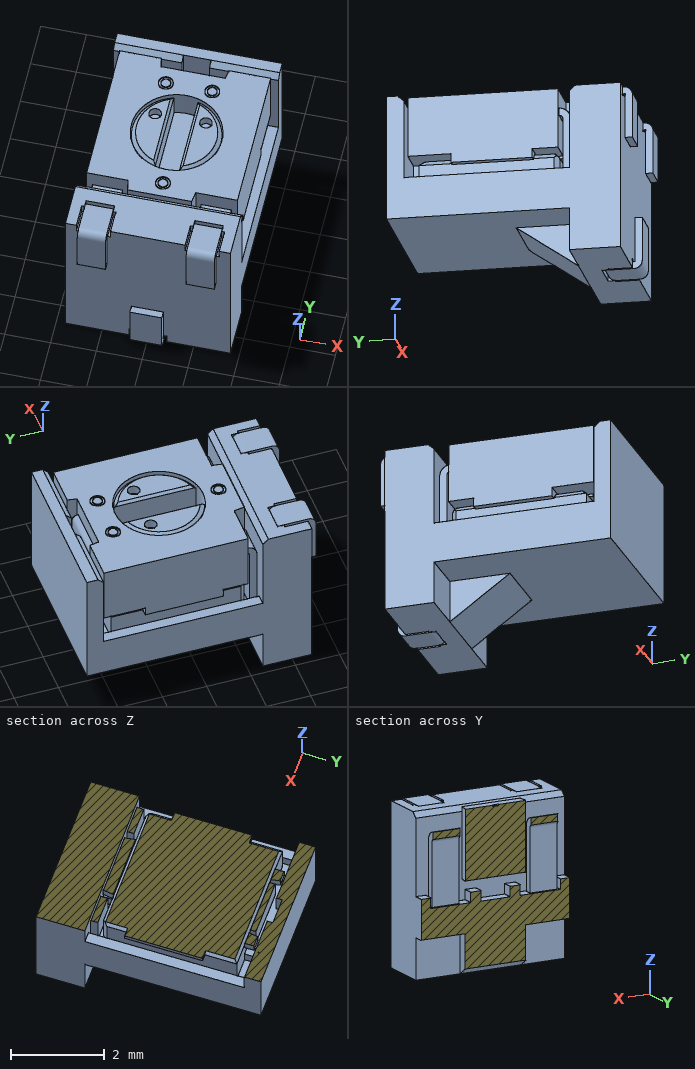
import cadquery as cq


width = 3.61
length = 5.28
height = 3.71
head_front = 0.2
head_rear = 1.31
shelf_bottom = 0.945
shelf_top = 1.86
wall_front = 4.9
edge_length = 0.125
edge_drop = 0.115
wall_notch_width = 0.6
rib_end = 2.66
rib_width = 1.48

terminal_x = 1.19
bottom_pad_width = 0.695

well_width = 3.135
well_depth = 0.23
well_floor = shelf_top - well_depth
rear_island_width = 1.995
front_island_width = 1.215
island_groove_width = bottom_pad_width

housing_width = 3.3
housing_front = 1.585
housing_rear = 4.84
housing_bottom = 2.385
tab_front = 1.34
tab_bottom = 2.11
tab_width = 1.48
tab_taper = 0.035
notch_root = 4.63
skirt_bottom = 2.19
skirt_front = 2.145
skirt_rear = 3.905

block_width = 3.01
block_top = 2.33
block_chamfer = 0.115
core_width = 2.11

rotor_y = 3.025
rotor_hole_radius = 0.99
rotor_radius = 0.965
rotor_chamfer = 0.09
rotor_depth = 0.79
slot_width = 0.53
slot_depth = 0.635
slot_chamfer = 0.06
dimple_x = 0.555
dimple_y = 3.405
dimple_radius = 0.13
dimple_depth = 0.21

ring_centres = [(-0.505, 4.24), (0.505, 4.24), (0, 1.685)]
ring_outer_radius = 0.16
ring_inner_radius = 0.105
ring_depth = 0.025

front_leg_width = 0.66
front_leg_thickness = 0.165
rear_leg_width = 1.28
rear_leg_reach = 0.135
leg_top = 3.31

pad_thickness = 0.16
pad_bend = 0.175
pad_drop = 1.145
pad_rear = 0.87
pad_recess_depth = 0.2
pad_recess_rear = 0.72
pad_clearance = 0.065
top_pad_width = 0.62


def box(x_size, y_start, y_end, z_start, z_end):
    """Box centred on X = 0 and running between the given Y and Z limits."""
    base = cq.Workplane("XY", origin=(0, (y_start + y_end) / 2, z_start))
    return base.rect(x_size, y_end - y_start).extrude(z_end - z_start)


def side_sketch():
    """Workplane whose local axes are the part's Y and Z."""
    return cq.Workplane("YZ")


def tapered_plan(y_wide, y_narrow, z_start, z_end):
    """Prism whose plan narrows slightly from y_wide to y_narrow."""
    wide = tab_width / 2
    narrow = wide - tab_taper
    outline = [(-wide, y_wide), (wide, y_wide), (narrow, y_narrow), (-narrow, y_narrow)]
    return cq.Workplane("XY", origin=(0, 0, z_start)).polyline(outline).close().extrude(z_end - z_start)


def make_frame():
    """L-shaped frame with a tall head, a rear wall, a rib and the well."""
    outline = [
        (head_front, 0),
        (head_rear, 0),
        (head_rear, shelf_bottom),
        (length, shelf_bottom),
        (length, height),
        (wall_front + edge_length, height),
        (wall_front, height - edge_drop),
        (wall_front, shelf_top),
        (head_rear, shelf_top),
        (head_rear, height - edge_drop),
        (head_rear - edge_length, height),
        (head_front, height),
    ]
    frame = side_sketch().polyline(outline).close().extrude(width / 2, both=True)

    rib_outline = [(head_rear, 0), (rib_end, shelf_bottom), (head_rear, shelf_bottom)]
    frame = frame.union(side_sketch().polyline(rib_outline).close().extrude(rib_width / 2, both=True))
    frame = frame.cut(box(wall_notch_width, wall_front, wall_front + edge_length, shelf_top, height))

    well = box(well_width, head_rear, wall_front, well_floor, shelf_top)
    rear_island = box(rear_island_width, notch_root, wall_front, well_floor, shelf_top)
    front_island = box(front_island_width, head_rear, housing_front, well_floor, shelf_top)
    groove = box(island_groove_width, head_rear, housing_front, well_floor, shelf_top)
    return frame.cut(well.cut(rear_island).cut(front_island.cut(groove)))


def make_housing():
    """Trimmer housing with its skirts, lower block and ring grooves."""
    housing = box(housing_width, housing_front, housing_rear, housing_bottom, height)
    housing = housing.union(tapered_plan(housing_front, tab_front, tab_bottom, height))
    lip = box(rear_island_width, notch_root, housing_rear, tab_bottom, housing_bottom)
    housing = housing.union(lip)
    housing = housing.cut(tapered_plan(housing_rear, notch_root, tab_bottom, height))

    skirts = box(housing_width, skirt_front, skirt_rear, skirt_bottom, housing_bottom)
    block = box(block_width, housing_front, notch_root, well_floor, block_top)
    block = block.faces(">Z").edges().chamfer(block_chamfer)
    block = block.edges("|Z and <Y").chamfer(block_chamfer)
    core = box(core_width, housing_front, notch_root, block_top, housing_bottom)
    housing = housing.union(skirts).union(block).union(core)

    for centre in ring_centres:
        ring = cq.Workplane("XY", origin=(*centre, height)).circle(ring_outer_radius)
        housing = housing.cut(ring.circle(ring_inner_radius).extrude(-ring_depth))
    return housing


def add_rotor(housing):
    """Set the slotted adjusting disc into the housing top."""
    top = cq.Workplane("XY", origin=(0, rotor_y, height))
    rotor = top.circle(rotor_radius).extrude(-rotor_depth).faces(">Z").chamfer(rotor_chamfer)

    half = slot_width / 2
    slot_outline = [
        (-half - slot_chamfer, height),
        (half + slot_chamfer, height),
        (half, height - slot_chamfer),
        (half, height - slot_depth),
        (-half, height - slot_depth),
        (-half, height - slot_chamfer),
    ]
    slot_plane = cq.Workplane("XZ", origin=(0, rotor_y, 0))
    rotor = rotor.cut(slot_plane.polyline(slot_outline).close().extrude(rotor_radius, both=True))

    for x in (-dimple_x, dimple_x):
        dimple = cq.Workplane("XY", origin=(x, dimple_y, height)).circle(dimple_radius)
        rotor = rotor.cut(dimple.extrude(-dimple_depth))

    rotor_hole = top.circle(rotor_hole_radius).extrude(-rotor_depth)
    return housing.cut(rotor_hole).union(rotor)


def front_leg(x):
    """Leg that leaves the housing front, bends down and enters the well."""
    reach = housing_front - tab_front
    inner = reach - front_leg_thickness
    bend_z = leg_top - reach
    leg = (
        cq.Workplane("YZ", origin=(x, 0, 0))
        .moveTo(housing_front, leg_top)
        .radiusArc((tab_front, bend_z), -reach)
        .lineTo(tab_front, well_floor)
        .lineTo(tab_front + front_leg_thickness, well_floor)
        .lineTo(tab_front + front_leg_thickness, bend_z)
        .radiusArc((housing_front, bend_z + inner), inner)
        .close()
    )
    return leg.extrude(front_leg_width / 2, both=True)


def rear_leg():
    """Rounded-over leg running down the root of the rear notch."""
    leg = (
        side_sketch()
        .moveTo(notch_root, leg_top)
        .radiusArc((notch_root + rear_leg_reach, leg_top - rear_leg_reach), rear_leg_reach)
        .lineTo(notch_root + rear_leg_reach, well_floor)
        .lineTo(notch_root, well_floor)
        .close()
    )
    return leg.extrude(rear_leg_width / 2, both=True)


def pad_profile():
    """Pad bent over the top front edge of the head, as a Y-Z outline."""
    underside = height - pad_thickness
    return (
        side_sketch()
        .moveTo(pad_bend, height)
        .radiusArc((0, height - pad_bend), -pad_bend)
        .lineTo(0, height - pad_drop)
        .lineTo(pad_thickness, height - pad_drop)
        .lineTo(pad_thickness, underside)
        .lineTo(head_front, underside)
        .lineTo(head_front, height - pad_recess_depth)
        .lineTo(pad_rear, height - pad_recess_depth)
        .lineTo(pad_rear, height - pad_bend)
        .radiusArc((pad_rear - pad_bend, height), -pad_bend)
        .close()
    )


def pad_recess(pad_width):
    """Recess in the head top that takes one pad, wider along its front part."""
    recess_floor = height - pad_recess_depth
    beside = box(pad_width + 2 * pad_clearance, head_front, pad_recess_rear, recess_floor, height)
    return beside.union(box(pad_width, head_front, pad_rear, recess_floor, height))


def add_pads(frame):
    """Add two pads over the top edge of the head and one under the bottom edge."""
    recess = pad_recess(top_pad_width)
    pad = pad_profile().extrude(top_pad_width / 2, both=True)
    for x in (-terminal_x, terminal_x):
        frame = frame.cut(recess.translate((x, 0, 0))).union(pad.translate((x, 0, 0)))

    middle = (0, 0, height / 2)
    bottom_recess = pad_recess(bottom_pad_width).mirror("XY", middle)
    bottom_pad = pad_profile().extrude(bottom_pad_width / 2, both=True).mirror("XY", middle)
    return frame.cut(bottom_recess).union(bottom_pad)


result = add_pads(make_frame()).union(add_rotor(make_housing()))
for leg_x in (-terminal_x, terminal_x):
    result = result.union(front_leg(leg_x))
result = result.union(rear_leg())